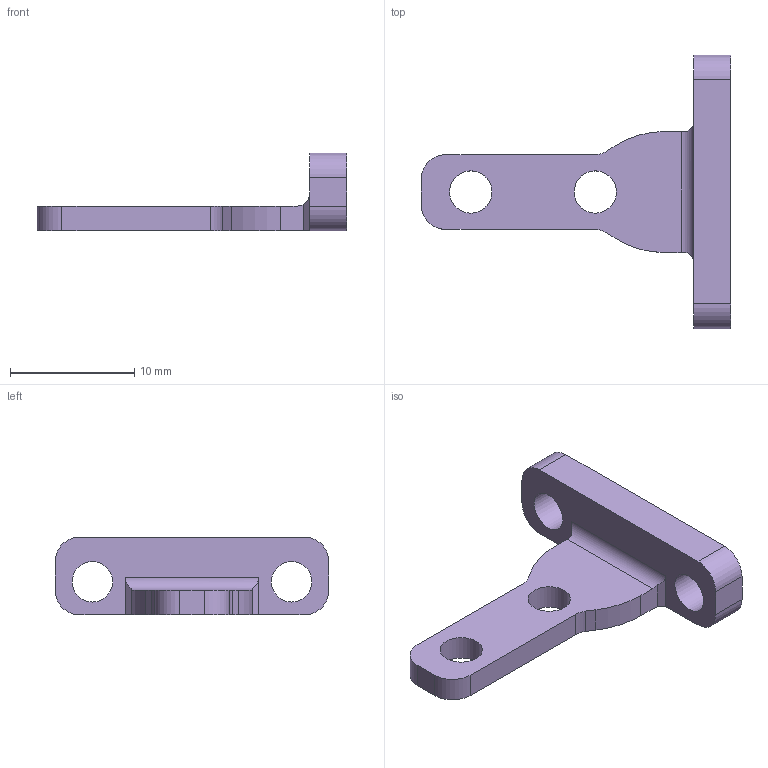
import cadquery as cq
import math

total_length = 24.9
plate_width = 22.0
plate_height = 6.26
corner_radius = 2.0

plate_thickness = 3.0
plate_face_x = total_length - plate_thickness
plate_hole_diameter = 3.25
plate_hole_spacing = 16.0
plate_hole_z = 2.66

arm_thickness = 2.0
arm_half_width = 3.0
arm_hole_diameter = 3.4
arm_hole_positions = (4.0, 14.0)

root_half_width = 4.86
flare_end_x = 19.55
flare_angle = math.radians(32.3)
neck_radius = 1.75
flare_radius = 7.4

root_fillet_radius = 1.0
root_chamfer = 0.5


def arc_point(center_x, center_y, radius, angle):
    return (center_x + radius * math.cos(angle), center_y + radius * math.sin(angle))


def make_plate():
    plate = (
        cq.Workplane("XY")
        .box(plate_thickness, plate_width, plate_height, centered=(False, True, False))
        .translate((plate_face_x, 0, 0))
        .edges("|X")
        .fillet(corner_radius)
    )
    holes = (
        cq.Workplane("YZ", origin=(plate_face_x, 0, plate_hole_z))
        .pushPoints([(-plate_hole_spacing / 2, 0), (plate_hole_spacing / 2, 0)])
        .circle(plate_hole_diameter / 2)
        .extrude(plate_thickness)
    )
    return plate.cut(holes)


def make_half_arm():
    """Arm on the +Y side: straight strip, concave neck, slanted edge, convex flare, straight root."""
    flare_center_y = root_half_width - flare_radius
    flare_mid = arc_point(flare_end_x, flare_center_y, flare_radius, math.pi / 2 + flare_angle / 2)
    flare_start = arc_point(flare_end_x, flare_center_y, flare_radius, math.pi / 2 + flare_angle)

    neck_center_y = arm_half_width + neck_radius
    neck_end_y = neck_center_y - neck_radius * math.cos(flare_angle)
    neck_end_x = flare_start[0] - (flare_start[1] - neck_end_y) / math.tan(flare_angle)
    neck_start_x = neck_end_x - neck_radius * math.sin(flare_angle)
    neck_mid = arc_point(neck_start_x, neck_center_y, neck_radius, (flare_angle - math.pi) / 2)

    end_center_y = arm_half_width - corner_radius
    end_mid = arc_point(corner_radius, end_center_y, corner_radius, math.pi * 3 / 4)

    return (
        cq.Workplane("XY")
        .moveTo(0, 0)
        .lineTo(0, end_center_y)
        .threePointArc(end_mid, (corner_radius, arm_half_width))
        .lineTo(neck_start_x, arm_half_width)
        .threePointArc(neck_mid, (neck_end_x, neck_end_y))
        .lineTo(*flare_start)
        .threePointArc(flare_mid, (flare_end_x, root_half_width))
        .lineTo(plate_face_x - root_chamfer, root_half_width)
        .lineTo(plate_face_x, root_half_width + root_chamfer)
        .lineTo(plate_face_x, 0)
        .close()
        .extrude(arm_thickness)
    )


def make_arm():
    half_arm = make_half_arm()
    return half_arm.union(half_arm.mirror("XZ"))


def make_root_fillet():
    """Concave fillet strip on top of the arm, its ends flared like the side chamfers."""
    fillet_start_x = plate_face_x - root_fillet_radius
    fillet_top_z = arm_thickness + root_fillet_radius
    fillet_mid = arc_point(fillet_start_x, fillet_top_z, root_fillet_radius, -math.pi / 4)
    end_half_width = root_half_width + root_chamfer
    strip = (
        cq.Workplane("XZ", origin=(0, end_half_width, 0))
        .moveTo(fillet_start_x, arm_thickness)
        .threePointArc(fillet_mid, (plate_face_x, fillet_top_z))
        .lineTo(plate_face_x, arm_thickness)
        .close()
        .extrude(2 * end_half_width)
    )
    footprint = (
        cq.Workplane("XY", origin=(0, 0, arm_thickness))
        .polyline([
            (fillet_start_x, -root_half_width),
            (plate_face_x - root_chamfer, -root_half_width),
            (plate_face_x, -end_half_width),
            (plate_face_x, end_half_width),
            (plate_face_x - root_chamfer, root_half_width),
            (fillet_start_x, root_half_width),
        ])
        .close()
        .extrude(root_fillet_radius)
    )
    return strip.intersect(footprint)


def make_arm_holes():
    return (
        cq.Workplane("XY")
        .pushPoints([(x, 0) for x in arm_hole_positions])
        .circle(arm_hole_diameter / 2)
        .extrude(arm_thickness)
    )


result = make_plate().union(make_arm()).union(make_root_fillet()).cut(make_arm_holes())